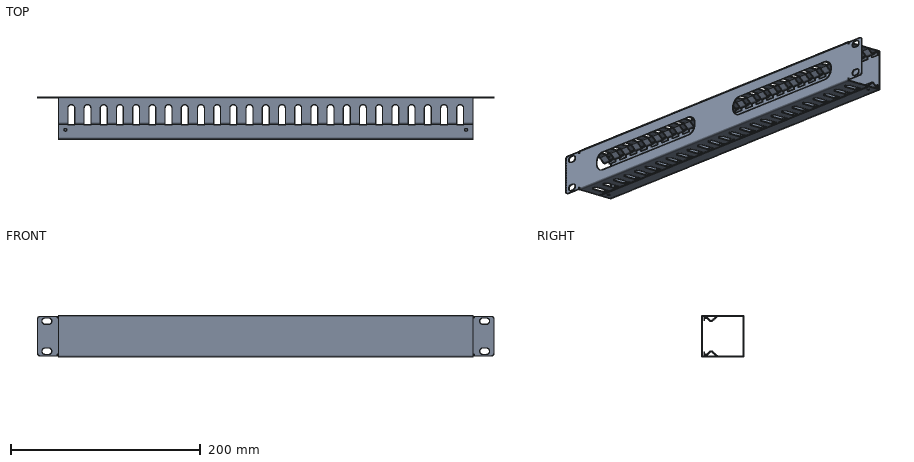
import cadquery as cq
import math


overall_width = 482.0
overall_depth = 44.5
overall_height = 44.0
duct_length = 437.5

sheet = 1.0
bend_radius = 0.6

ear_height = 42.0
ear_corner_radius = 3.0
rack_slot_length = 10.3
rack_slot_height = 6.5
rack_slot_spacing_x = 462.0
rack_slot_spacing_z = 31.75
relief_width = 1.2
relief_depth = 1.8

window_length = 160.0
window_height = 20.0
window_offset = 111.0

slot_count = 25
slot_pitch = 17.1
slot_width = 7.0
slot_start = 8.1
slot_length = 60.0

valley_start = 16.8
valley_centre = 9.95
valley_floor = 1.5
valley_depth = 6.0
lip_start = 5.7
lip_gap = 1.2
lip_end_depth = 5.3

cover_flange = 15.4
cover_hole_diameter = 3.0
cover_hole_inset = 7.3

half_sheet = sheet / 2
front = -overall_depth
top_middle = overall_height / 2 - half_sheet
duct_end = duct_length / 2
ear_length = (overall_width - duct_length) / 2


def bent_sheet(path, length):
    """Sheet bent along a (y, z) path at its middle, centred on x = 0."""
    steps = [(b[0] - a[0], b[1] - a[1]) for a, b in zip(path, path[1:])]
    along = [(dy / math.hypot(dy, dz), dz / math.hypot(dy, dz)) for dy, dz in steps]
    left = [(-dz, dy) for dy, dz in along]

    def face(offset):
        """Start, bends as (entry, middle, exit) and end of the face at an offset to the left."""
        bends = []
        for i, (y, z) in enumerate(path[1:-1]):
            d1, d2 = along[i], along[i + 1]
            n1, n2 = left[i], left[i + 1]
            turn = math.atan2(d1[0] * d2[1] - d1[1] * d2[0], d1[0] * d2[0] + d1[1] * d2[1])
            side = math.copysign(1, turn)
            setback = bend_radius * math.tan(abs(turn) / 2)
            centre = (
                y - d1[0] * setback + n1[0] * side * bend_radius,
                z - d1[1] * setback + n1[1] * side * bend_radius,
            )
            reach = offset - side * bend_radius
            n_middle = math.hypot(n1[0] + n2[0], n1[1] + n2[1])
            middle = ((n1[0] + n2[0]) / n_middle, (n1[1] + n2[1]) / n_middle)
            bends.append([(centre[0] + n[0] * reach, centre[1] + n[1] * reach) for n in (n1, middle, n2)])
        start = (path[0][0] + left[0][0] * offset, path[0][1] + left[0][1] * offset)
        end = (path[-1][0] + left[-1][0] * offset, path[-1][1] + left[-1][1] * offset)
        return start, bends, end

    start, bends, end = face(half_sheet)
    outline = cq.Workplane("YZ").moveTo(*start)
    for entry, middle, leave in bends:
        outline = outline.lineTo(*entry).threePointArc(middle, leave)
    outline = outline.lineTo(*end)

    start, bends, end = face(-half_sheet)
    outline = outline.lineTo(*end)
    for entry, middle, leave in reversed(bends):
        outline = outline.lineTo(*leave).threePointArc(middle, entry)
    return outline.lineTo(*start).close().extrude(length / 2, both=True)


def mirrored_path(half):
    """Path of a channel, given its upper half from the wall to the free end."""
    return [(y, -z) for y, z in reversed(half)] + half


def make_ear(side):
    """Rack ear with two rack slots and bend reliefs next to the duct."""
    ear = (
        cq.Workplane("XY")
        .box(ear_length, sheet, ear_height, centered=(True, False, True))
        .translate((side * (duct_end + ear_length / 2), -sheet, 0))
    )
    ear = ear.edges("|Y").edges(">X" if side > 0 else "<X").fillet(ear_corner_radius)
    rack_slots = (
        cq.Workplane("XZ")
        .pushPoints([(side * rack_slot_spacing_x / 2, up * rack_slot_spacing_z / 2) for up in (-1, 1)])
        .slot2D(rack_slot_length, rack_slot_height)
        .extrude(sheet)
    )
    reliefs = (
        cq.Workplane("XZ")
        .pushPoints([(side * (duct_end + relief_width / 2), up * ear_height / 2) for up in (-1, 1)])
        .rect(relief_width, 2 * relief_depth)
        .extrude(sheet)
    )
    return ear.cut(rack_slots).cut(reliefs)


def make_duct():
    """Slotted duct: back wall, two rows of fingers with snap ends, and both ears."""
    lip_level = top_middle - sheet - lip_gap
    lip_y = front + sheet + lip_gap + half_sheet
    upper_half = [
        (-half_sheet, top_middle),
        (front + valley_start, top_middle),
        (front + valley_centre + valley_floor / 2, overall_height / 2 - valley_depth),
        (front + valley_centre - valley_floor / 2, overall_height / 2 - valley_depth),
        (front + lip_start, lip_level),
        (lip_y, lip_level),
        (lip_y, overall_height / 2 - lip_end_depth),
    ]
    duct = bent_sheet(mirrored_path(upper_half), duct_length)

    slot_places = [
        ((i - (slot_count - 1) / 2) * slot_pitch, -slot_start - slot_length / 2) for i in range(slot_count)
    ]
    slots = (
        cq.Workplane("XY")
        .pushPoints(slot_places)
        .slot2D(slot_length, slot_width, 90)
        .extrude(overall_height, both=True)
    )
    duct = duct.cut(slots)

    windows = (
        cq.Workplane("XZ")
        .pushPoints([(-window_offset, 0), (window_offset, 0)])
        .slot2D(window_length, window_height)
        .extrude(sheet)
    )
    duct = duct.cut(windows)
    for side in (-1, 1):
        duct = duct.union(make_ear(side))
    return duct


def make_cover():
    """U-shaped cover with a small hole over the snap valley at each flange end."""
    upper_half = [
        (front + half_sheet, top_middle),
        (front + cover_flange, top_middle),
    ]
    cover = bent_sheet(mirrored_path(upper_half), duct_length)
    hole_x = duct_end - cover_hole_inset
    holes = (
        cq.Workplane("XY")
        .pushPoints([(-hole_x, front + valley_centre), (hole_x, front + valley_centre)])
        .circle(cover_hole_diameter / 2)
        .extrude(overall_height, both=True)
    )
    return cover.cut(holes)


duct = make_duct()
cover = make_cover()

result = cq.Compound.makeCompound([duct.val(), cover.val()])